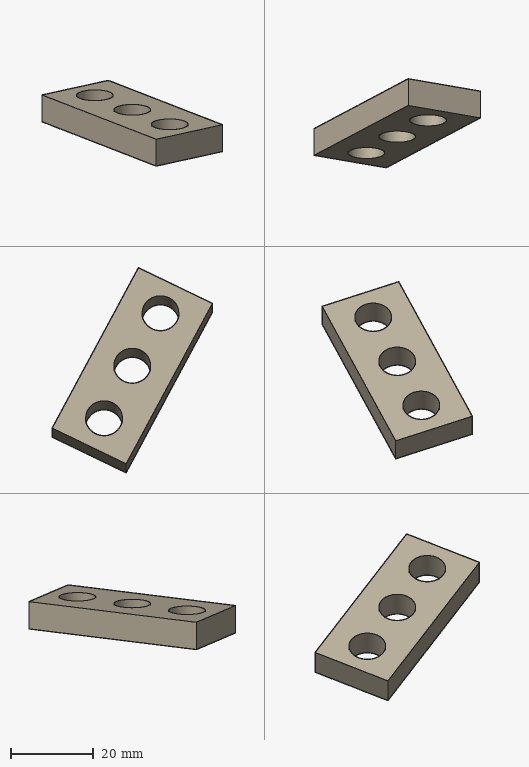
import cadquery as cq

length = 45.95
width = 20.1
thickness = 6.8

hole_count = 3
hole_pitch = 15.05
hole_diameter = 8.85

bar = cq.Workplane("XY").box(length, width, thickness)

result = (
    bar.faces(">Z")
    .workplane()
    .rarray(hole_pitch, width, hole_count, 1)
    .hole(hole_diameter)
)